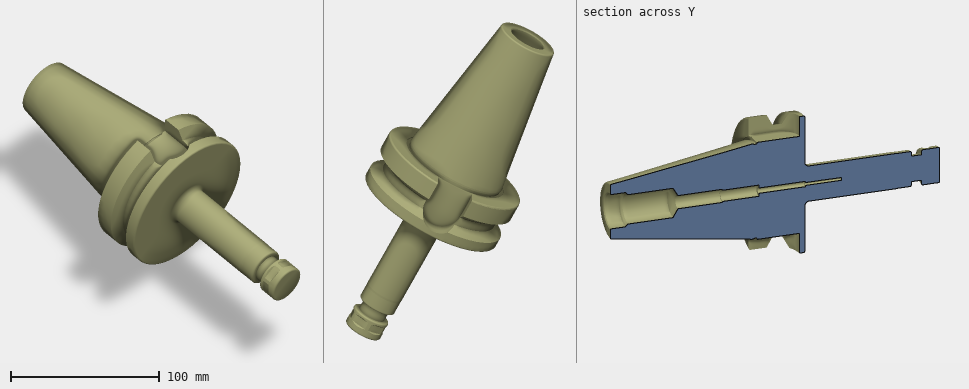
import cadquery as cq
import math

total_length = 236.8
edge_fillet = 1.2

gauge_position = 101.8
gauge_diameter = 69.9
taper_ratio = 7 / 24
taper_small_diameter = gauge_diameter - gauge_position * taper_ratio
gauge_land_end = 103.0

relief_floor_diameter = 69.0
relief_rim_diameter = 74.0
relief_face_depth = 0.7

flange_diameter = 100.0
flange_start = 104.5
flange_end = 140.0
groove_root_diameter = 85.0
groove_root_start = 121.7
groove_root_end = 127.9
groove_flank_angle = 30

slot_width = 26.0
slot_end = 136.0
slot_floor_height = 35.5

shank_diameter = 26.0
shank_root_fillet = 2.8
nose_diameter = 25.8
nose_step_start = 204.8
nose_step_end = 206.3
shank_end = 216.5

neck_diameter = 19.0
nut_start = 223.5
nut_diameter = 26.0
pocket_count = 6
pocket_start = 226.4
pocket_end = 231.4
pocket_floor_radius = 11.8
pocket_wall_slope = 0.8

bore_mouth_diameter = 26.0
pilot_diameter = 24.6
pilot_depth = 11.0
shoulder_diameter = 23.0
shoulder_depth = 11.5
thread_diameter = 21.0
thread_start = 12.8
thread_end = 45.0
drill_point_angle = 118
duct_diameter = 9.2
duct_end = 80.5
lower_duct_diameter = 7.8
lower_duct_end = 106.5
coolant_diameter = 3.5
coolant_end = 140.0
orifice_diameter = 1.7
orifice_end = 165.8


def revolve_profile(points):
    """Revolve about the X axis the region between it and a line through (x, diameter) points."""
    first_x = points[0][0]
    last_x = points[-1][0]
    outline = [(x, diameter / 2) for x, diameter in points]
    profile = cq.Workplane("XY").polyline([(first_x, 0)] + outline + [(last_x, 0)]).close()
    return profile.revolve(360, (0, 0, 0), (1, 0, 0))


def make_taper():
    """Taper with a rounded small end and a short cylindrical land, running into the relief."""
    taper = revolve_profile([
        (0, taper_small_diameter),
        (gauge_position, gauge_diameter),
        (gauge_land_end, gauge_diameter),
        (gauge_land_end, relief_floor_diameter),
        (flange_start + relief_face_depth, relief_floor_diameter),
    ])
    return taper.faces("<X").edges().fillet(edge_fillet)


def make_flange():
    """Flange with rounded rims, a V-groove and a shallow relief in its taper-side face."""
    groove_depth = (flange_diameter - groove_root_diameter) / 2
    flank_length = groove_depth * math.tan(math.radians(groove_flank_angle))
    flange = revolve_profile([
        (flange_start, flange_diameter),
        (groove_root_start - flank_length, flange_diameter),
        (groove_root_start, groove_root_diameter),
        (groove_root_end, groove_root_diameter),
        (groove_root_end + flank_length, flange_diameter),
        (flange_end, flange_diameter),
    ])
    flange = flange.faces("<X or >X").edges().fillet(edge_fillet)
    face_relief = revolve_profile([
        (flange_start, relief_rim_diameter),
        (flange_start + relief_face_depth, relief_rim_diameter),
    ])
    return flange.cut(face_relief)


def make_drive_slot():
    """Round-ended slot above the +Z slot floor, open toward the taper."""
    round_center = slot_end - slot_width / 2
    outline = (
        cq.Workplane("XY", origin=(0, 0, slot_floor_height))
        .moveTo(flange_start, -slot_width / 2)
        .lineTo(round_center, -slot_width / 2)
        .threePointArc((slot_end, 0), (round_center, slot_width / 2))
        .lineTo(flange_start, slot_width / 2)
        .close()
    )
    return outline.extrude(flange_diameter / 2)


def make_shank():
    """Shank with a slimmer nose that is rounded at its free end."""
    shank = revolve_profile([
        (flange_end, shank_diameter),
        (nose_step_start, shank_diameter),
        (nose_step_end, nose_diameter),
        (shank_end, nose_diameter),
    ])
    return shank.faces(">X").edges().fillet(edge_fillet)


def make_shank_root():
    """Concave fillet ring between the flange face and the shank."""
    shank_radius = shank_diameter / 2
    center_x = flange_end + shank_root_fillet
    center_r = shank_radius + shank_root_fillet
    arc_offset = shank_root_fillet * math.sqrt(0.5)
    profile = (
        cq.Workplane("XY")
        .moveTo(flange_end, 0)
        .lineTo(flange_end, center_r)
        .threePointArc((center_x - arc_offset, center_r - arc_offset), (center_x, shank_radius))
        .lineTo(center_x, 0)
        .close()
    )
    return profile.revolve(360, (0, 0, 0), (1, 0, 0))


def make_nut_pocket():
    """Flat-floored wrench pocket on the +Z side of the nut, with sloped end walls."""
    height = nut_diameter / 2
    flare = height * pocket_wall_slope
    top = pocket_floor_radius + height
    return (
        cq.Workplane("XZ")
        .moveTo(pocket_start, pocket_floor_radius)
        .lineTo(pocket_end, pocket_floor_radius)
        .lineTo(pocket_end + flare, top)
        .lineTo(pocket_start - flare, top)
        .close()
        .extrude(nut_diameter / 2, both=True)
    )


def make_nut():
    """Round nut with rounded rims and a ring of wrench pockets."""
    nut = revolve_profile([(nut_start, nut_diameter), (total_length, nut_diameter)])
    nut = nut.faces("<X or >X").edges().fillet(edge_fillet)
    pocket = make_nut_pocket()
    for index in range(pocket_count):
        angle = 90 + index * 360 / pocket_count
        nut = nut.cut(pocket.rotate((0, 0, 0), (1, 0, 0), angle))
    return nut


def make_bore():
    """Stepped bore: chamfered pilot, threaded bore with a drill point, ducts and orifice."""
    mouth_chamfer = (bore_mouth_diameter - pilot_diameter) / 2
    point_radial_drop = (thread_diameter - duct_diameter) / 2
    point_length = point_radial_drop / math.tan(math.radians(drill_point_angle / 2))
    return revolve_profile([
        (0, bore_mouth_diameter),
        (mouth_chamfer, pilot_diameter),
        (pilot_depth, pilot_diameter),
        (shoulder_depth, shoulder_diameter),
        (thread_start, thread_diameter),
        (thread_end, thread_diameter),
        (thread_end + point_length, duct_diameter),
        (duct_end, duct_diameter),
        (duct_end, lower_duct_diameter),
        (lower_duct_end, lower_duct_diameter),
        (lower_duct_end, coolant_diameter),
        (coolant_end, coolant_diameter),
        (coolant_end, orifice_diameter),
        (orifice_end, orifice_diameter),
    ])


flange = make_flange()
drive_slot = make_drive_slot()
for angle in (0, 180):
    flange = flange.cut(drive_slot.rotate((0, 0, 0), (1, 0, 0), angle))

neck = revolve_profile([(shank_end, neck_diameter), (nut_start, neck_diameter)])

result = (
    make_taper()
    .union(flange)
    .union(make_shank())
    .union(make_shank_root())
    .union(neck)
    .union(make_nut())
    .cut(make_bore())
)